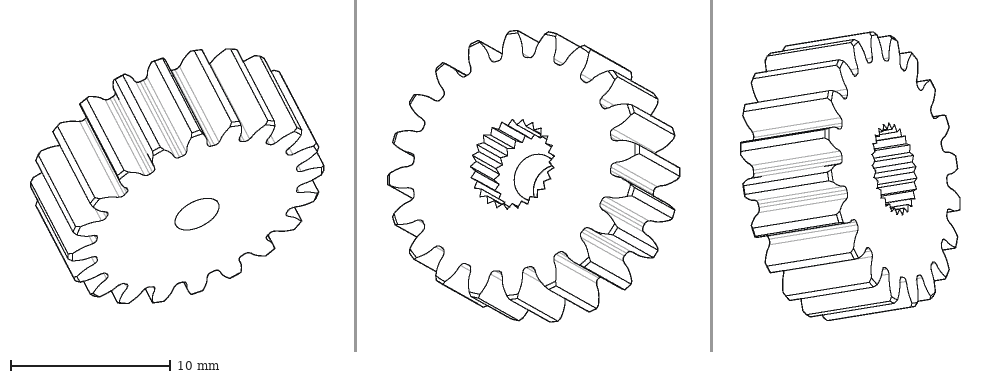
import cadquery as cq
import math


face_width = 6.35
tip_diameter = 17.46
tooth_count = 20
pressure_angle = math.radians(20)
dedendum_factor = 1.3
fillet_radius = 0.28
fillet_sweep = math.radians(80)
root_arc_half_angle = math.radians(0.9)
tip_chamfer_length = 0.17
tip_chamfer_height = 0.23

socket_teeth = 25
socket_outer_diameter = 5.83
socket_inner_diameter = 5.1
socket_depth = 3.5
hole_diameter = 3.0

module = tip_diameter / (tooth_count + 2)
tip_radius = tip_diameter / 2
pitch_radius = module * tooth_count / 2
base_radius = pitch_radius * math.cos(pressure_angle)
root_radius = pitch_radius - dedendum_factor * module

tooth_pitch = 2 * math.pi / tooth_count
involute_at_pitch = math.tan(pressure_angle) - pressure_angle
base_half_angle = tooth_pitch / 4 + involute_at_pitch
flank_points = 7

fillet_center_radius = root_radius + fillet_radius


def polar(radius, angle):
    return (radius * math.cos(angle), radius * math.sin(angle))


def fillet_point(gap_angle, side, sweep):
    """Point on the fillet at one side (-1 or +1) of a gap, swept up from the root circle."""
    fillet_angle = gap_angle + side * root_arc_half_angle
    center_y, center_z = polar(fillet_center_radius, fillet_angle)
    offset_y, offset_z = polar(fillet_radius, fillet_angle + math.pi - side * sweep)
    return (center_y + offset_y, center_z + offset_z)


def flank(tooth_angle, side):
    """Involute points from base to tip; side is -1 or +1 across the tooth."""
    tip_roll = math.sqrt((tip_radius / base_radius) ** 2 - 1)
    points = []
    for i in range(flank_points):
        roll = tip_roll * i / (flank_points - 1)
        radius = base_radius * math.sqrt(1 + roll**2)
        half_angle = base_half_angle - (roll - math.atan(roll))
        points.append(polar(radius, tooth_angle + side * half_angle))
    return points


def gear_blank():
    first_gap_angle = -tooth_pitch / 2
    outline = cq.Workplane("YZ").moveTo(*fillet_point(first_gap_angle, 1, fillet_sweep))
    for i in range(tooth_count):
        tooth_angle = i * tooth_pitch
        gap_angle = tooth_angle + tooth_pitch / 2
        rising = flank(tooth_angle, -1)
        falling = flank(tooth_angle, 1)[::-1]
        falling_foot = fillet_point(gap_angle, -1, fillet_sweep)
        outline = (
            outline.spline(rising, includeCurrent=True)
            .threePointArc(polar(tip_radius, tooth_angle), falling[0])
            .spline(falling[1:] + [falling_foot], includeCurrent=True)
            .threePointArc(fillet_point(gap_angle, -1, fillet_sweep / 2), fillet_point(gap_angle, -1, 0))
            .threePointArc(polar(root_radius, gap_angle), fillet_point(gap_angle, 1, 0))
            .threePointArc(
                fillet_point(gap_angle, 1, fillet_sweep / 2),
                fillet_point(gap_angle, 1, fillet_sweep),
            )
        )
    return outline.close().extrude(face_width)


def chamfered_envelope():
    """Cylinder whose chamfered rims bevel both ends of every tooth tip."""
    rim_radius = tip_radius - tip_chamfer_height
    half_section = [
        (0, 0),
        (0, rim_radius),
        (tip_chamfer_length, tip_radius),
        (face_width - tip_chamfer_length, tip_radius),
        (face_width, rim_radius),
        (face_width, 0),
    ]
    return cq.Workplane("XY").polyline(half_section).close().revolve(360, (0, 0), (1, 0))


def shaft_socket():
    """V-toothed recess with one outer point on +Z."""
    step = math.pi / socket_teeth
    points = []
    for i in range(socket_teeth):
        outer_angle = math.pi / 2 + 2 * i * step
        points.append(polar(socket_outer_diameter / 2, outer_angle))
        points.append(polar(socket_inner_diameter / 2, outer_angle + step))
    return cq.Workplane("YZ").polyline(points).close().extrude(socket_depth)


def screw_hole():
    return cq.Workplane("YZ").circle(hole_diameter / 2).extrude(face_width)


gear = gear_blank().intersect(chamfered_envelope())
result = gear.cut(shaft_socket()).cut(screw_hole())